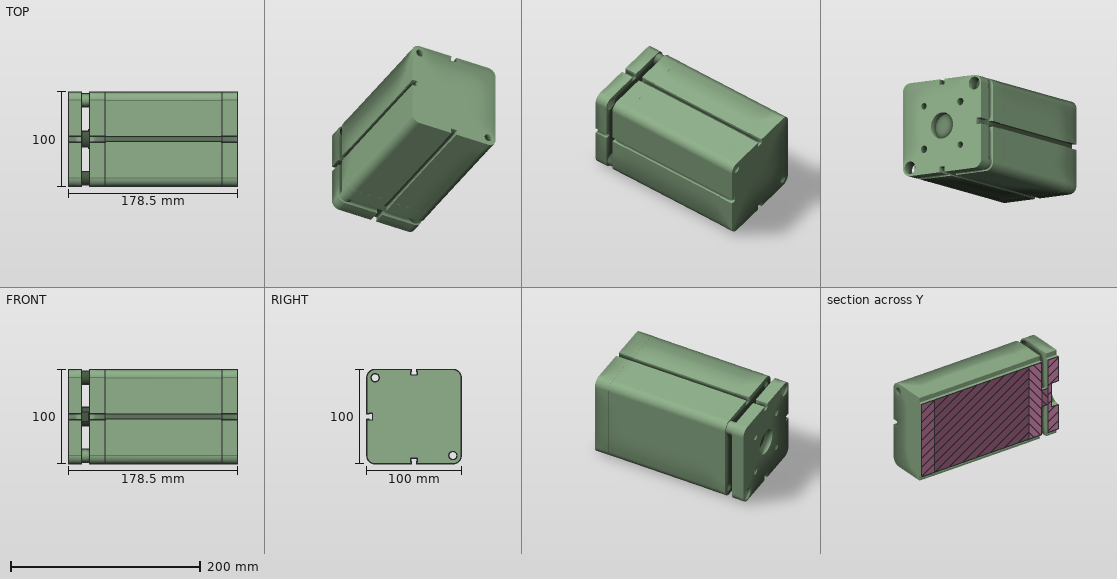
import cadquery as cq


total_length = 178.5
plate_thickness = 14.0
gap = 8.0
cap_thickness = 16.6
barrel_length = total_length - plate_thickness - gap - 2 * cap_thickness

plate_x = 0.0
gap_x = plate_x + plate_thickness
front_cap_x = gap_x + gap
barrel_x = front_cap_x + cap_thickness
rear_cap_x = barrel_x + barrel_length

side = 100.0
corner_radius = 9.0
barrel_inset = 0.09
corner_offset = side / 2 - corner_radius

slot_depth = 5.9
slot_width = 6.8
plate_mouth_width = 6.0
plate_lip_depth = 1.6
barrel_mouth_width = 5.4
barrel_lip_depth = 2.5
slot_angles = (0, 90, 180)

access_hole_diameter = 13.7
screw_hole_diameter = 8.4

pocket_diameter = 28.2
pocket_depth = 9.0
fixing_offset = 23.2
threaded_hole_diameter = 7.0
dowel_hole_diameter = 8.0
guide_rod_diameter = 14.3

piston_rod_diameter = 20.0
piston_rod_chamfer = 0.5
wrench_width = 17.1
wrench_length = 7.0


def section_plane(x):
    """Workplane across the axis at x, with local axes +Y and +Z and its normal along +X."""
    return cq.Workplane("YZ", origin=(x, 0, 0))


def diagonal(offset, y_sign):
    """Two opposite points on a diagonal; y_sign is the Y side of the upper one."""
    return [(y_sign * offset, offset), (-y_sign * offset, -offset)]


def cylinders(x, length, diameter, points):
    return section_plane(x).pushPoints(points).circle(diameter / 2).extrude(length)


def sensor_slots(x, length, section_side, mouth_width, lip_depth):
    """Cutters for the three slots along a block."""
    top = section_side / 2
    floor = side / 2 - slot_depth
    lip = side / 2 - lip_depth
    mouth = section_plane(x).center(0, (top + floor) / 2).rect(mouth_width, top - floor).extrude(length)
    channel = section_plane(x).center(0, (lip + floor) / 2).rect(slot_width, lip - floor).extrude(length)
    slot = mouth.union(channel)
    return [slot.rotate((0, 0, 0), (1, 0, 0), angle) for angle in slot_angles]


def slotted_block(x, length, section_side, mouth_width, lip_depth, hole_diameter):
    """Rounded square block with three slots and two holes in opposite corners."""
    block = section_plane(x).rect(section_side, section_side).extrude(length)
    block = block.edges("|X").fillet(corner_radius)
    for slot in sensor_slots(x, length, section_side, mouth_width, lip_depth):
        block = block.cut(slot)
    return block.cut(cylinders(x, length, hole_diameter, diagonal(corner_offset, -1)))


def make_end_cap(x):
    return slotted_block(x, cap_thickness, side, plate_mouth_width, plate_lip_depth, screw_hole_diameter)


def make_barrel():
    return slotted_block(
        barrel_x, barrel_length, side - 2 * barrel_inset,
        barrel_mouth_width, barrel_lip_depth, screw_hole_diameter,
    )


def make_yoke():
    """Front plate with its two guide rods, which reach the front cap."""
    plate = slotted_block(
        plate_x, plate_thickness, side, plate_mouth_width, plate_lip_depth, access_hole_diameter
    )
    pocket = section_plane(plate_x).circle(pocket_diameter / 2).extrude(pocket_depth)
    threaded_holes = cylinders(plate_x, plate_thickness, threaded_hole_diameter, diagonal(fixing_offset, 1))
    dowel_holes = cylinders(plate_x, plate_thickness, dowel_hole_diameter, diagonal(fixing_offset, -1))
    guide_rods = cylinders(gap_x, gap, guide_rod_diameter, diagonal(corner_offset, 1))
    return plate.cut(pocket).cut(threaded_holes).cut(dowel_holes).union(guide_rods)


def make_piston_rod():
    """Rod across the gap, chamfered where it meets the plate, with wrench flats facing +Y and -Y."""
    rod = section_plane(gap_x).circle(piston_rod_diameter / 2).extrude(gap)
    rod = rod.faces("<X").chamfer(piston_rod_chamfer)
    flat_section = section_plane(gap_x).rect(wrench_width, piston_rod_diameter).extrude(wrench_length)
    round_section = section_plane(gap_x + wrench_length).circle(piston_rod_diameter / 2)
    return rod.intersect(flat_section.union(round_section.extrude(gap - wrench_length)))


yoke = make_yoke()
piston_rod = make_piston_rod()
barrel = make_barrel()
end_caps = [make_end_cap(x) for x in (front_cap_x, rear_cap_x)]

result = cq.Compound.makeCompound(
    [yoke.val(), piston_rod.val(), barrel.val(), *[cap.val() for cap in end_caps]]
)